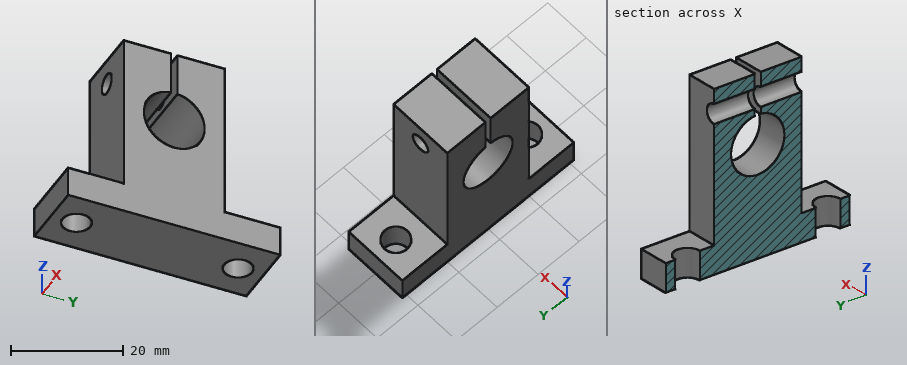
import cadquery as cq

thickness = 14.0
base_length = 42.0
base_height = 6.0
column_width = 20.0
total_height = 37.5

bore_diameter = 12.0
bore_height = 23.0
slit_width = 1.25

clamp_hole_diameter = 4.0
clamp_hole_height = 32.42
mount_hole_diameter = 5.5
mount_hole_spacing = 32.0


def make_body():
    """Inverted-T block, centred on X and Y and standing on Z = 0."""
    on_base = (True, True, False)
    base = cq.Workplane("XY").box(thickness, base_length, base_height, centered=on_base)
    column = cq.Workplane("XY").box(thickness, column_width, total_height, centered=on_base)
    return base.union(column)


def cut_shaft_clamp(body):
    """Shaft bore along X, with a slit from its axis to the top face."""
    bore = (
        cq.Workplane("YZ")
        .center(0, bore_height)
        .circle(bore_diameter / 2)
        .extrude(thickness / 2, both=True)
    )
    slit = (
        cq.Workplane("XY")
        .workplane(offset=bore_height)
        .rect(thickness, slit_width)
        .extrude(total_height - bore_height)
    )
    return body.cut(bore).cut(slit)


def cut_clamp_hole(body):
    """Clamp screw hole along Y through both jaws."""
    hole = (
        cq.Workplane("XZ")
        .center(0, clamp_hole_height)
        .circle(clamp_hole_diameter / 2)
        .extrude(column_width / 2, both=True)
    )
    return body.cut(hole)


def cut_mount_holes(body):
    """Vertical screw hole through each foot of the base."""
    holes = (
        cq.Workplane("XY")
        .rarray(0.4, mount_hole_spacing, 1, 2)
        .circle(mount_hole_diameter / 2)
        .extrude(base_height)
    )
    return body.cut(holes)


result = cut_mount_holes(cut_clamp_hole(cut_shaft_clamp(make_body())))